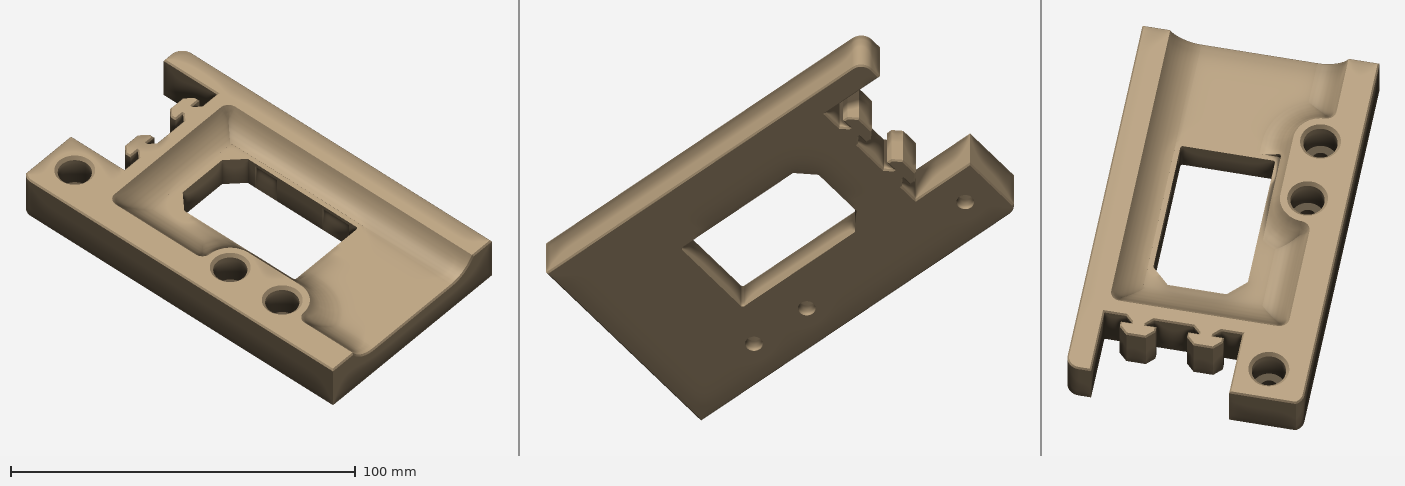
import cadquery as cq
import math

LENGTH = 119.8
WIDTH = 70.0
HEIGHT = 15.0
CORNER_RADIUS = 4.0
LOWER_CORNER_CUT = 0.6
EDGE_CHAMFER = 0.5

NOTCH_DEPTH = 20.6
NOTCH_BOTTOM = 21.6
NOTCH_TOP = 62.3

TOOTH_CENTERS_Y = (31.9, 51.8)
TOOTH_TIP_X = 14.3
TOOTH_BACK_X = 18.5
TOOTH_HALF_WIDTH = 5.3
TOOTH_TIP_HALF_WIDTH = 2.9
TOOTH_NECK_HALF_WIDTH = 2.2
TOOTH_NECK_LENGTH = 0.2

POCKET_LEFT = 25.2
POCKET_BOTTOM = 9.1
POCKET_TOP = 61.7
POCKET_DEPTH = 5.0
POCKET_CORNER_RADIUS = 3.0
WALL_RADIUS = 10.9
FLOOR_Z = HEIGHT - POCKET_DEPTH
WALL_CENTER_Z = FLOOR_Z + WALL_RADIUS
WALL_RUN = math.sqrt(WALL_RADIUS**2 - (WALL_RADIUS - POCKET_DEPTH) ** 2)

HOLE_Y = 11.7
HOLE_CENTERS_X = (10.1, 70.0, 90.0)
BOSS_CENTERS_X = HOLE_CENTERS_X[1:]
BOSS_RADIUS = 8.0
HOLE_DIAMETER = 5.2
COUNTERBORE_DIAMETER = 10.0
COUNTERBORE_DEPTH = 10.1
HOLE_CHAMFER = 1.0

WINDOW_LEFT = 36.3
WINDOW_RIGHT = 84.1
WINDOW_BOTTOM = 24.0
WINDOW_TOP = 51.9
WINDOW_CHAMFER = 5.3
WINDOW_CORNER_RADIUS = 0.7
MARGIN = 1.5
MARGIN_LEFT = 2.4
MARGIN_CORNER_RADIUS = 1.2

RECESS_SPANS_X = ((44.5, 52.8), (70.3, 80.6))
RECESS_DEPTH = 1.3
RECESS_LIP = 1.2

LOWER_CORNER_Y = POCKET_BOTTOM + POCKET_CORNER_RADIUS
BOSS_CORNER_RISE = LOWER_CORNER_Y - HOLE_Y
BOSS_CORNER_REACH = math.sqrt((BOSS_RADIUS + POCKET_CORNER_RADIUS) ** 2 - BOSS_CORNER_RISE**2)
BOSS_CORNER_ANGLE = math.degrees(math.atan2(BOSS_CORNER_RISE, BOSS_CORNER_REACH))


def box(x_min, x_max, y_min, y_max, z_min, z_max):
    size = (x_max - x_min, y_max - y_min, z_max - z_min)
    return cq.Workplane("XY").box(*size, centered=False).translate((x_min, y_min, z_min))


def tooth(center_y):
    """Arrow-shaped tooth with a narrow neck that flares at 45 degrees into the notch wall."""
    neck_end_x = TOOTH_BACK_X + TOOTH_NECK_LENGTH
    root_half_width = TOOTH_NECK_HALF_WIDTH + NOTCH_DEPTH - neck_end_x
    upper_side = [
        (TOOTH_TIP_X, TOOTH_TIP_HALF_WIDTH),
        (TOOTH_TIP_X + TOOTH_HALF_WIDTH - TOOTH_TIP_HALF_WIDTH, TOOTH_HALF_WIDTH),
        (TOOTH_BACK_X, TOOTH_HALF_WIDTH),
        (TOOTH_BACK_X, TOOTH_NECK_HALF_WIDTH),
        (neck_end_x, TOOTH_NECK_HALF_WIDTH),
        (NOTCH_DEPTH, root_half_width),
    ]
    lower_side = [(x, -y) for x, y in reversed(upper_side)]
    outline = cq.Workplane("XY").polyline(upper_side + lower_side).close()
    return outline.extrude(HEIGHT).translate((0, center_y, 0))


def block():
    """Outer block with rounded left corners, the notch and its teeth."""
    body = box(-LOWER_CORNER_CUT, LENGTH, 0, WIDTH, 0, HEIGHT)
    body = body.edges("|Z and <X and <Y").fillet(CORNER_RADIUS)
    body = body.cut(box(-LOWER_CORNER_CUT, 0, 0, WIDTH, 0, HEIGHT))
    body = body.edges("|Z and <X and >Y").fillet(CORNER_RADIUS)
    body = body.cut(box(0, NOTCH_DEPTH, NOTCH_BOTTOM, NOTCH_TOP, 0, HEIGHT))
    for center_y in TOOTH_CENTERS_Y:
        body = body.union(tooth(center_y))
    return body


def wall_height(run):
    """Height of the concave wall at a horizontal distance from the rim."""
    return WALL_CENTER_Z - math.sqrt(WALL_RADIUS**2 - (WALL_RUN - run) ** 2)


def wall_section(plane, rim, direction, run=WALL_RUN):
    """Upright section of a wall that curves down from the rim; direction is +1 or -1.

    The first axis of the plane is horizontal and the second is Z. The section reaches
    behind the rim by the boss radius, and down to the underside of the block.
    """
    foot = rim + direction * run
    middle = rim + direction * run / 2
    heel = rim - direction * BOSS_RADIUS
    section = cq.Workplane(plane).moveTo(foot, wall_height(run))
    section = section.threePointArc((middle, wall_height(run / 2)), (rim, HEIGHT))
    return section.lineTo(heel, HEIGHT).lineTo(heel, 0).lineTo(foot, 0).close()


def boss_wall():
    """Boss with its flared skirt: a ring around each hole joined by a straight stretch."""
    first_x, last_x = BOSS_CENTERS_X
    bridge = wall_section("YZ", HOLE_Y + BOSS_RADIUS, 1).extrude(last_x - first_x)
    wall = bridge.translate((first_x, 0, 0))
    ring = wall_section("XZ", BOSS_RADIUS, 1).revolve(360, (0, 0), (0, 1))
    for center_x in BOSS_CENTERS_X:
        wall = wall.union(ring.translate((center_x, HOLE_Y, 0)))
    return wall


def corner_wall(center_x, center_y, start_angle, end_angle):
    """Wall that follows a rounded rim corner and curves down toward the corner's centre."""
    section = wall_section("XZ", POCKET_CORNER_RADIUS, -1, run=POCKET_CORNER_RADIUS)
    wall = section.revolve(end_angle - start_angle, (0, 0), (0, 1))
    return wall.rotate((0, 0, 0), (0, 0, 1), start_angle).translate((center_x, center_y, 0))


def pocket_walls():
    """Walls whose highest surface shapes the pocket, so they meet in mitred corners."""
    length = LENGTH - POCKET_LEFT
    width = POCKET_TOP - POCKET_BOTTOM
    upper = wall_section("YZ", POCKET_TOP, -1).extrude(length).translate((POCKET_LEFT, 0, 0))
    lower = wall_section("YZ", POCKET_BOTTOM, 1).extrude(length).translate((POCKET_LEFT, 0, 0))
    left = wall_section("XZ", POCKET_LEFT, 1).extrude(-width).translate((0, POCKET_BOTTOM, 0))

    first_x, last_x = BOSS_CENTERS_X
    left_x = POCKET_LEFT + POCKET_CORNER_RADIUS
    upper_y = POCKET_TOP - POCKET_CORNER_RADIUS
    corners = [
        corner_wall(left_x, upper_y, 90, 180),
        corner_wall(left_x, LOWER_CORNER_Y, 180, 270),
        corner_wall(first_x - BOSS_CORNER_REACH, LOWER_CORNER_Y, 270, 360 - BOSS_CORNER_ANGLE),
        corner_wall(last_x + BOSS_CORNER_REACH, LOWER_CORNER_Y, 180 + BOSS_CORNER_ANGLE, 270),
    ]
    return [upper, lower, left, boss_wall()] + corners


def pocket():
    """Material removed by the dished pocket."""
    first_x, last_x = BOSS_CENTERS_X
    right = LENGTH + 2 * POCKET_CORNER_RADIUS
    space = box(POCKET_LEFT, right, POCKET_BOTTOM, POCKET_TOP, FLOOR_Z, HEIGHT)
    boss = (
        cq.Workplane("XY", origin=((first_x + last_x) / 2, HOLE_Y, FLOOR_Z))
        .slot2D(last_x - first_x + 2 * BOSS_RADIUS, 2 * BOSS_RADIUS)
        .extrude(POCKET_DEPTH)
    )
    space = space.cut(boss).edges("|Z and (<X or <Y)").fillet(POCKET_CORNER_RADIUS)
    for wall in pocket_walls():
        space = space.cut(wall)
    return space


def window():
    """Window with two clipped corners, and the flat margin levelled around it."""
    opening = box(WINDOW_LEFT, WINDOW_RIGHT, WINDOW_BOTTOM, WINDOW_TOP, 0, HEIGHT)
    opening = opening.edges("|Z and <X").chamfer(WINDOW_CHAMFER)
    opening = opening.edges("|Z and >X").fillet(WINDOW_CORNER_RADIUS)
    margin = box(
        WINDOW_LEFT - MARGIN_LEFT,
        WINDOW_RIGHT + MARGIN,
        WINDOW_BOTTOM - MARGIN,
        WINDOW_TOP + MARGIN,
        FLOOR_Z,
        HEIGHT,
    )
    margin = margin.edges("|Z").fillet(MARGIN_CORNER_RADIUS)
    return opening.union(margin)


def recess(start_x, end_x):
    """Wedge under the lip, deepest at its ceiling and fading out at the underside."""
    ceiling_z = FLOOR_Z - RECESS_LIP
    corners = [(WINDOW_TOP, 0), (WINDOW_TOP, ceiling_z), (WINDOW_TOP + RECESS_DEPTH, ceiling_z)]
    wedge = cq.Workplane("YZ").polyline(corners).close().extrude(end_x - start_x)
    return wedge.translate((start_x, 0, 0))


def screw_hole(center_x):
    """Counterbored through hole with a chamfered mouth."""
    bore_floor = HEIGHT - COUNTERBORE_DEPTH
    hole = cq.Workplane("XY").circle(HOLE_DIAMETER / 2).extrude(HEIGHT)
    bore = cq.Workplane("XY", origin=(0, 0, bore_floor)).circle(COUNTERBORE_DIAMETER / 2)
    bore = bore.extrude(COUNTERBORE_DEPTH)
    mouth_radius = COUNTERBORE_DIAMETER / 2 + HOLE_CHAMFER
    mouth = cq.Workplane("XY", origin=(0, 0, HEIGHT)).circle(mouth_radius)
    mouth = mouth.extrude(-HOLE_CHAMFER, taper=45)
    return hole.union(bore).union(mouth).translate((center_x, HOLE_Y, 0))


def is_sharp_rim(edge):
    """True for the upper edges that border the pocket, which stay sharp."""
    bounds = edge.BoundingBox()
    crosses_x = bounds.xmax > POCKET_LEFT - EDGE_CHAMFER and bounds.xmin < LENGTH - EDGE_CHAMFER
    crosses_y = bounds.ymin > EDGE_CHAMFER and bounds.ymax < WIDTH - EDGE_CHAMFER
    return crosses_x and crosses_y


def chamfer_outline(body):
    """Bevel the outer edges above and below, and the right end down across the pocket."""
    outline = body.faces("<Z").edges().add(body.faces(">X").edges("not |Z"))
    outline = outline.add(body.faces(">Z").edges().filter(lambda edge: not is_sharp_rim(edge)))
    return outline.chamfer(EDGE_CHAMFER)


result = chamfer_outline(block().cut(pocket()))
result = result.cut(window())
for hole_x in HOLE_CENTERS_X:
    result = result.cut(screw_hole(hole_x))
for recess_start, recess_end in RECESS_SPANS_X:
    result = result.cut(recess(recess_start, recess_end))